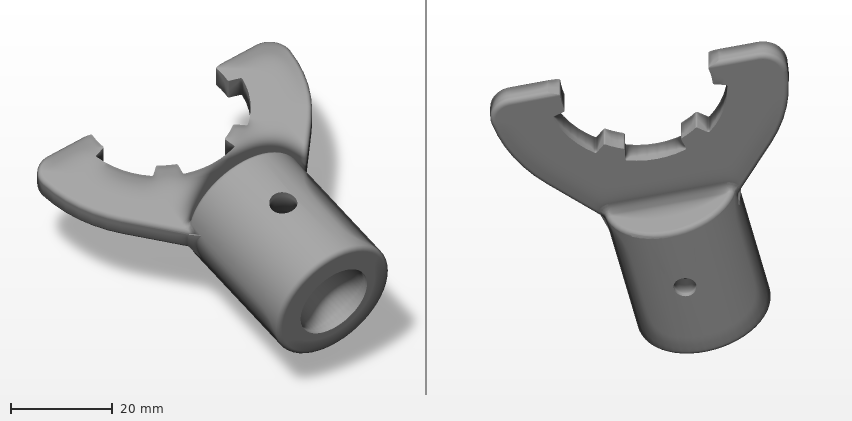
import cadquery as cq
import math

overall_length = 62.0
socket_diameter = 27.0
socket_length = 31.0
bore_diameter = 16.0
bore_depth = 25.0
screw_head_diameter = 5.5
screw_diameter = 4.5
screw_x = 44.8

head_thickness = 5.0
jaw_x = 2.85
head_radius = 29.95
corner_radius = 4.85
flank_angle = 49.5

jaw_radius = 17.85
tooth_tip_radius = 15.05
tooth_root_half_width = 3.05
tooth_tip_half_width = 2.1
tooth_angles = (-90, -30, 30, 90)
tooth_rounding = 0.4

edge_rounding = 1.0
joint_rounding = 1.5
seam_margin = 0.1
seam_depth = 3.1

ramp_start_x = 32.3
ramp_length = 3.15
ramp_start_half_width = 14.25
ramp_start_height = 3.2
ramp_end_height = 6.7

socket_x = overall_length - socket_length
socket_radius = socket_diameter / 2


def make_head():
    """Rounded plate, symmetric about XZ, before the jaw is cut."""
    flank = math.radians(flank_angle)

    corner_x = corner_radius
    corner_y = math.sqrt((head_radius - corner_radius) ** 2 - (corner_x - jaw_x) ** 2)
    contact = math.atan2(corner_y, corner_x - jaw_x)
    corner_middle = (math.pi + contact) / 2
    head_middle = (contact + flank) / 2

    def on_head(angle):
        return (jaw_x + head_radius * math.cos(angle), head_radius * math.sin(angle))

    corner_point = (
        corner_x + corner_radius * math.cos(corner_middle),
        corner_y + corner_radius * math.sin(corner_middle),
    )
    axis_x = jaw_x + head_radius / math.cos(flank)
    half = (
        cq.Workplane("XY", origin=(0, 0, -head_thickness / 2))
        .moveTo(0, 0)
        .lineTo(0, corner_y)
        .threePointArc(corner_point, on_head(contact))
        .threePointArc(on_head(head_middle), on_head(flank))
        .lineTo(axis_x, 0)
        .close()
        .extrude(head_thickness)
    )
    whole = half.union(half.mirror("XZ")).clean()
    return whole.faces("<Z or >Z").edges().fillet(edge_rounding)


def make_socket():
    """Solid cylinder with both rims rounded."""
    cylinder = cq.Workplane("YZ", origin=(socket_x, 0, 0)).circle(socket_radius).extrude(socket_length)
    return cylinder.edges("%CIRCLE").fillet(edge_rounding)


def join(head, socket):
    """Unite the two and fillet the closed seam where the head enters the socket."""
    seam_box = cq.selectors.BoxSelector(
        (socket_x - seam_margin, -socket_diameter, -head_thickness / 2 - seam_margin),
        (socket_x + seam_depth, socket_diameter, head_thickness / 2 + seam_margin),
        boundingbox=True,
    )
    return head.union(socket).edges(seam_box).fillet(joint_rounding)


def make_jaw_cutter():
    """Round opening with tapered teeth left standing in it."""
    cutter = (
        cq.Workplane("XY", origin=(jaw_x, 0, -head_thickness))
        .circle(jaw_radius)
        .extrude(2 * head_thickness)
    )
    taper = (tooth_root_half_width - tooth_tip_half_width) / (jaw_radius - tooth_tip_radius)
    outer_radius = jaw_radius + tooth_tip_half_width
    outer_half_width = tooth_tip_half_width + taper * (outer_radius - tooth_tip_radius)
    tip_x = math.sqrt(tooth_tip_radius**2 - tooth_tip_half_width**2)
    for angle in tooth_angles:
        tooth = (
            cq.Workplane("XY", origin=(0, 0, -head_thickness))
            .moveTo(tip_x, -tooth_tip_half_width)
            .lineTo(outer_radius, -outer_half_width)
            .lineTo(outer_radius, outer_half_width)
            .lineTo(tip_x, tooth_tip_half_width)
            .threePointArc((tooth_tip_radius, 0), (tip_x, -tooth_tip_half_width))
            .close()
            .extrude(2 * head_thickness)
            .rotate((0, 0, 0), (0, 0, 1), angle)
            .translate((jaw_x, 0, 0))
        )
        cutter = cutter.cut(tooth)
    return cutter.edges("|Z").fillet(tooth_rounding)


def make_ramps():
    """Both ramps as one loft; its far corners land on the socket surface."""
    end_half_width = math.sqrt(socket_radius**2 - (ramp_end_height / 2) ** 2)
    return (
        cq.Workplane("YZ", origin=(ramp_start_x, 0, 0))
        .rect(2 * ramp_start_half_width, ramp_start_height)
        .workplane(offset=ramp_length)
        .rect(2 * end_half_width, ramp_end_height)
        .loft(ruled=True)
    )


def cut_socket(body):
    """Blind bore from the rear, with a cross screw hole wider at the top for the head."""
    bore = cq.Workplane("YZ", origin=(overall_length, 0, 0)).circle(bore_diameter / 2).extrude(-bore_depth)
    screw = (
        cq.Workplane("XY", origin=(screw_x, 0, -socket_radius))
        .circle(screw_diameter / 2)
        .extrude(socket_diameter)
    )
    screw_head = (
        cq.Workplane("XY", origin=(screw_x, 0, 0))
        .circle(screw_head_diameter / 2)
        .extrude(socket_radius)
    )
    return body.cut(bore).cut(screw).cut(screw_head)


body = join(make_head(), make_socket()).union(make_ramps())
result = cut_socket(body).cut(make_jaw_cutter())